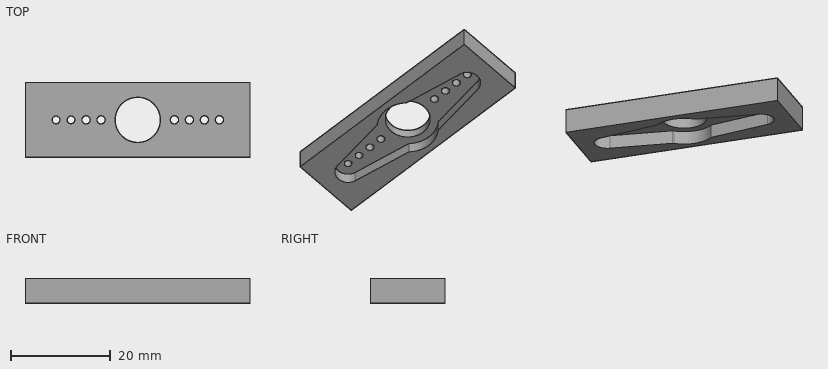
import cadquery as cq
import math

plate_length = 45.0
plate_width = 15.0
plate_height = 5.0

bore_diameter = 9.0

inner_hole_offset = 7.35
hole_pitch = 3.0
holes_per_side = 4
large_hole_diameter = 1.6
small_hole_diameter = 1.5
small_hole_count = 2
outer_hole_offset = inner_hole_offset + (holes_per_side - 1) * hole_pitch

pocket_depth = 2.75
hub_radius = 6.15
arm_root_offset = 4.0
arm_root_half_width = 4.65
neck_fillet = 0.5
arm_taper = 0.16


def make_plate():
    """Rectangular plate centred on Z, resting on Z = 0."""
    return cq.Workplane("XY").box(plate_length, plate_width, plate_height, centered=(True, True, False))


def through_hole(x, diameter):
    """Cutter for a vertical hole through the plate on the X axis."""
    return cq.Workplane("XY").center(x, 0).circle(diameter / 2).extrude(plate_height)


def arm_half_width(x):
    """Half width of a pocket arm at distance x from the bore axis."""
    return arm_root_half_width - arm_taper * (x - arm_root_offset)


def make_pocket():
    """Cutter for the horn pocket, open at the underside."""
    taper_angle = math.atan(arm_taper)
    tip_radius = arm_half_width(outer_hole_offset) * math.cos(taper_angle)
    tangent_x = outer_hole_offset + tip_radius * math.sin(taper_angle)
    tangent_y = tip_radius * math.cos(taper_angle)
    tip_x = outer_hole_offset + tip_radius
    middle_half_width = arm_half_width(0)

    arms = (
        cq.Workplane("XY")
        .moveTo(0, middle_half_width)
        .lineTo(tangent_x, tangent_y)
        .threePointArc((tip_x, 0), (tangent_x, -tangent_y))
        .lineTo(0, -middle_half_width)
        .lineTo(-tangent_x, -tangent_y)
        .threePointArc((-tip_x, 0), (-tangent_x, tangent_y))
        .close()
        .extrude(pocket_depth)
    )
    hub = cq.Workplane("XY").circle(hub_radius).extrude(pocket_depth)
    pocket = arms.union(hub)
    neck_zone = cq.selectors.BoxSelector(
        (-hub_radius, -hub_radius, 0),
        (hub_radius, hub_radius, pocket_depth),
    )
    return pocket.edges("|Z").edges(neck_zone).fillet(neck_fillet)


def cut_screw_holes(body):
    """Cut both groups of screw holes, working outwards from the bore."""
    for index in range(holes_per_side):
        offset = inner_hole_offset + index * hole_pitch
        is_small = index >= holes_per_side - small_hole_count
        left_diameter = small_hole_diameter if is_small else large_hole_diameter
        body = body.cut(through_hole(-offset, left_diameter))
        body = body.cut(through_hole(offset, large_hole_diameter))
    return body


plate = make_plate().cut(make_pocket()).cut(through_hole(0, bore_diameter))
result = cut_screw_holes(plate)